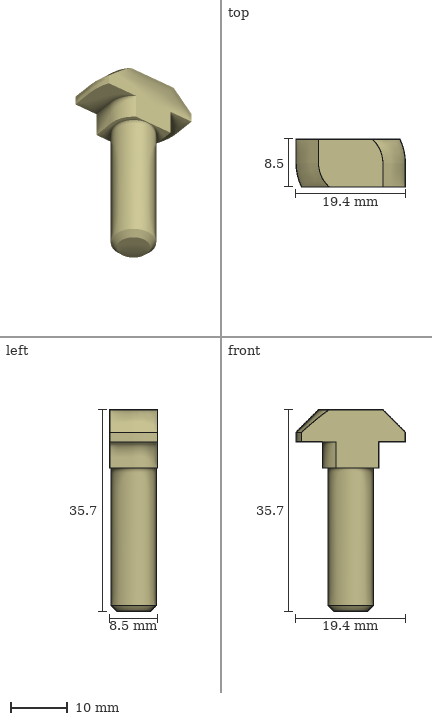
import cadquery as cq

total_height = 35.7
head_length = 19.4
thickness = 8.5
head_height = 5.7
bevel = 4.0
neck_length = 10.0
neck_height = 4.65
shank_diameter = 8.07
tip_chamfer = 1.07

half_head = head_length / 2
half_neck = neck_length / 2
half_thickness = thickness / 2
head_bottom = total_height - head_height
neck_bottom = head_bottom - neck_height


def half_profile(side):
    """Head and neck outline in XZ, from the axis towards side (+1 or -1)."""
    points = [
        (0, neck_bottom),
        (side * half_neck, neck_bottom),
        (side * half_neck, head_bottom),
        (side * half_head, head_bottom),
        (side * half_head, total_height - bevel),
        (side * (half_head - bevel), total_height),
        (0, total_height),
    ]
    return cq.Workplane("XZ").polyline(points).close()


def square_quarter(side):
    """Square-cornered quarter, reaching to +X, -Y or to -X, +Y."""
    return half_profile(side).extrude(side * half_thickness)


def rounded_core():
    """Head and neck turned about the axis, cut to two flat faces."""
    turned = half_profile(1).revolve(360, (0, 0, 0), (0, 1, 0))
    slab = cq.Workplane("XY").box(head_length, thickness, total_height, centered=(True, True, False))
    return turned.intersect(slab)


def shank():
    """Round shank with a chamfered tip."""
    return (
        cq.Workplane("XY")
        .circle(shank_diameter / 2)
        .extrude(neck_bottom)
        .faces("<Z")
        .chamfer(tip_chamfer)
    )


result = rounded_core()
for side in (1, -1):
    result = result.union(square_quarter(side))
result = result.union(shank())